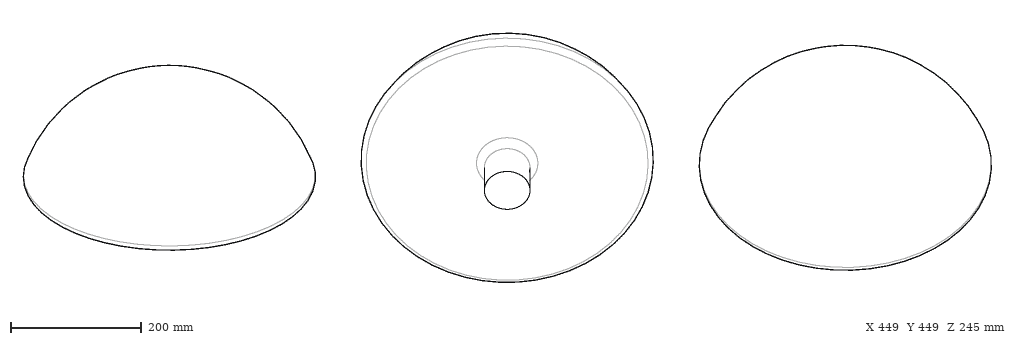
import cadquery as cq
import math

outer_radius = 224.5
total_height = 245.0
stem_radius = 35.0
stem_length = 75.0
root_fillet = 12.0
rim_radius = 8.0

rim_x = outer_radius - rim_radius
rim_z = stem_length + rim_radius
rim_to_apex = total_height - rim_z

dome_radius = (rim_x**2 + rim_to_apex**2 - rim_radius**2) / (2 * (rim_to_apex - rim_radius))
dome_center_z = total_height - dome_radius
tangent_angle = math.atan2(rim_z - dome_center_z, rim_x)


def dome_point(angle):
    """Point of the dome profile at an angle above horizontal, from the dome centre."""
    return (dome_radius * math.cos(angle), dome_center_z + dome_radius * math.sin(angle))


fillet_center_x = stem_radius + root_fillet
fillet_center_z = stem_length - root_fillet
fillet_mid = (
    fillet_center_x - root_fillet * math.cos(math.pi / 4),
    fillet_center_z + root_fillet * math.sin(math.pi / 4),
)
rim_outermost = (outer_radius, rim_z)
dome_mid = dome_point((tangent_angle + math.pi / 2) / 2)

profile = (
    cq.Workplane("XZ")
    .lineTo(stem_radius, 0)
    .lineTo(stem_radius, fillet_center_z)
    .threePointArc(fillet_mid, (fillet_center_x, stem_length))
    .lineTo(rim_x, stem_length)
    .threePointArc(rim_outermost, dome_point(tangent_angle))
    .threePointArc(dome_mid, (0, total_height))
    .close()
)
result = profile.revolve(360, (0, 0, 0), (0, 1, 0))